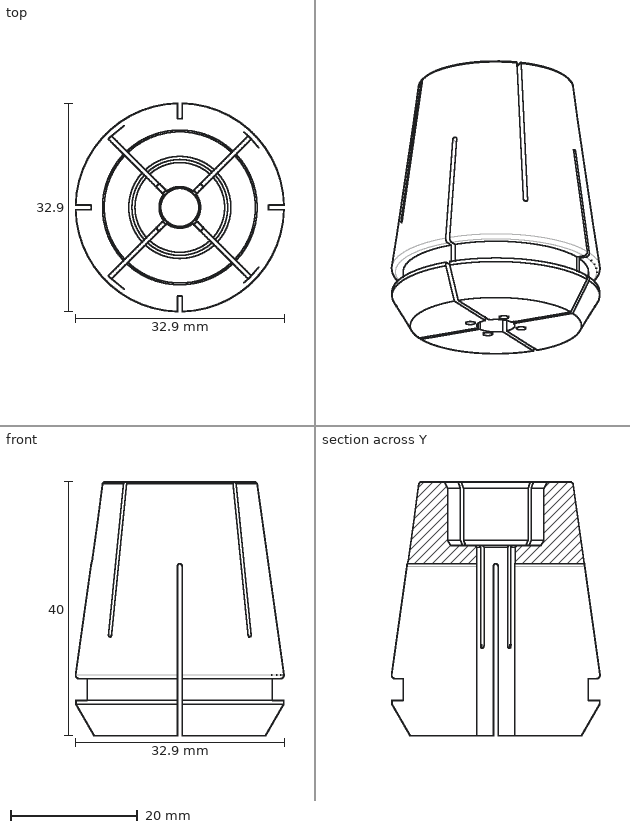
import cadquery as cq
import math

HEIGHT = 40.0
TAPER_ANGLE = 8.0
TOP_RADIUS = 12.16
TOP_EDGE_CHAMFER = 0.25

LIP_BOTTOM_Z = 9.0
LIP_FILLET = 0.57
GROOVE_RADIUS = 14.6
GROOVE_BOTTOM_Z = 5.6
FLANGE_RADIUS = 16.38
FLANGE_EDGE_Z = 5.0
NOSE_ANGLE = 30.0

BORE_RADIUS = 3.0
BORE_CHAMFER = 0.28
RECESS_RADIUS = 7.55
RECESS_DEPTH = 10.0
RECESS_MOUTH_RADIUS = 8.05
RECESS_MOUTH_HEIGHT = 1.0
RECESS_FLOOR_RADIUS = 7.07
RECESS_CORNER_HEIGHT = 0.8

SLOT_WIDTH = 0.7
SLOT_COUNT = 4
LOWER_SLOT_TOP_Z = 27.1
UPPER_SLOT_BOTTOM_Z = 15.6
UPPER_SLOT_ANGLE = 45.0

RELIEF_DIAMETER = 1.5
RELIEF_PITCH_RADIUS = 4.2

CLEARANCE = 5.0
TAPER_SLOPE = math.tan(math.radians(TAPER_ANGLE))


def cone_radius(z):
    """Radius of the clamping cone at height z."""
    return TOP_RADIUS + (HEIGHT - z) * TAPER_SLOPE


def make_body():
    """Outer shape, turned about Z."""
    lip_radius = cone_radius(LIP_BOTTOM_Z)
    nose_radius = FLANGE_RADIUS - FLANGE_EDGE_Z * math.tan(math.radians(NOSE_ANGLE))
    chamfer_z = HEIGHT - TOP_EDGE_CHAMFER
    profile = (
        cq.Workplane("XZ")
        .moveTo(0, 0)
        .lineTo(nose_radius, 0)
        .lineTo(FLANGE_RADIUS, FLANGE_EDGE_Z)
        .lineTo(FLANGE_RADIUS, GROOVE_BOTTOM_Z)
        .lineTo(GROOVE_RADIUS, GROOVE_BOTTOM_Z)
        .lineTo(GROOVE_RADIUS, LIP_BOTTOM_Z)
        .lineTo(lip_radius, LIP_BOTTOM_Z)
        .lineTo(cone_radius(chamfer_z), chamfer_z)
        .lineTo(TOP_RADIUS - TOP_EDGE_CHAMFER, HEIGHT)
        .lineTo(0, HEIGHT)
        .close()
    )
    body = profile.revolve(360, (0, 0, 0), (0, 1, 0))
    rims = body.faces("%CONE").edges("%CIRCLE")
    lip_rim = rims.filter(lambda edge: abs(edge.startPoint().z - LIP_BOTTOM_Z) < LIP_FILLET)
    return lip_rim.fillet(LIP_FILLET)


def make_bore():
    """Through bore and the wide shank recess above it."""
    floor_z = HEIGHT - RECESS_DEPTH
    profile = (
        cq.Workplane("XZ")
        .moveTo(0, 0)
        .lineTo(BORE_RADIUS, 0)
        .lineTo(BORE_RADIUS, floor_z - BORE_CHAMFER)
        .lineTo(BORE_RADIUS + BORE_CHAMFER, floor_z)
        .lineTo(RECESS_FLOOR_RADIUS, floor_z)
        .lineTo(RECESS_RADIUS, floor_z + RECESS_CORNER_HEIGHT)
        .lineTo(RECESS_RADIUS, HEIGHT - RECESS_MOUTH_HEIGHT)
        .lineTo(RECESS_MOUTH_RADIUS, HEIGHT)
        .lineTo(0, HEIGHT)
        .close()
    )
    return profile.revolve(360, (0, 0, 0), (0, 1, 0))


def make_lower_slot():
    """Slot along +X, open at the nose, with a level round crown."""
    reach = FLANGE_RADIUS + CLEARANCE
    crown_axis_z = LOWER_SLOT_TOP_Z - SLOT_WIDTH / 2
    slot = cq.Workplane("XY").box(reach, SLOT_WIDTH, crown_axis_z, centered=(False, True, False))
    crown = cq.Workplane("YZ").center(0, crown_axis_z).circle(SLOT_WIDTH / 2).extrude(reach)
    return slot.union(crown)


def make_upper_slot():
    """Slot along +X, open at the top, with a round floor square to the cone surface."""
    reach = FLANGE_RADIUS + CLEARANCE
    height = HEIGHT + CLEARANCE
    slot = cq.Workplane("XY").box(reach, SLOT_WIDTH, height, centered=(False, True, False))
    floor = cq.Workplane("YZ").circle(SLOT_WIDTH / 2).extrude(reach)
    floor_rise = cone_radius(UPPER_SLOT_BOTTOM_Z) * TAPER_SLOPE
    axis_z = UPPER_SLOT_BOTTOM_Z - floor_rise + SLOT_WIDTH / 2
    return slot.union(floor).rotate((0, 0, 0), (0, 1, 0), -TAPER_ANGLE).translate((0, 0, axis_z))


def make_relief_hole():
    """Axial hole from the nose face, ending inside the slot above it."""
    floor_drop = (cone_radius(UPPER_SLOT_BOTTOM_Z) - RELIEF_PITCH_RADIUS) * TAPER_SLOPE
    top_z = UPPER_SLOT_BOTTOM_Z - floor_drop + SLOT_WIDTH / 2
    return (
        cq.Workplane("XY")
        .center(RELIEF_PITCH_RADIUS, 0)
        .circle(RELIEF_DIAMETER / 2)
        .extrude(top_z)
    )


def cut_around(body, cutter, start_angle):
    """Cut evenly spaced copies of a cutter about Z."""
    for index in range(SLOT_COUNT):
        angle = start_angle + index * 360 / SLOT_COUNT
        body = body.cut(cutter.rotate((0, 0, 0), (0, 0, 1), angle))
    return body


result = make_body().cut(make_bore())
result = cut_around(result, make_lower_slot(), 0)
result = cut_around(result, make_upper_slot(), UPPER_SLOT_ANGLE)
result = cut_around(result, make_relief_hole(), UPPER_SLOT_ANGLE)